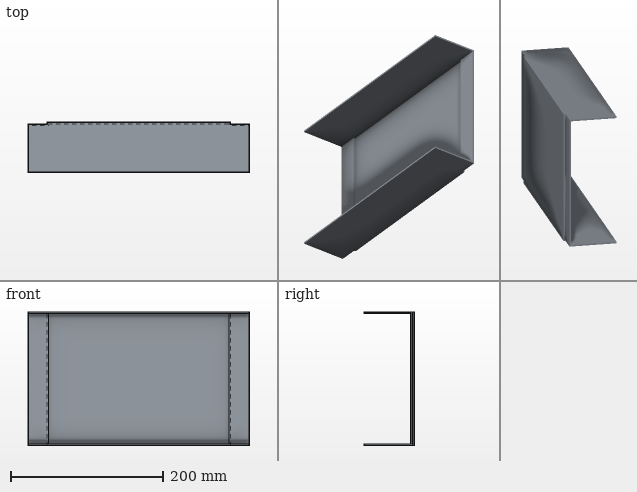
import cadquery as cq

length = 291.0
height = 175.9
sheet = 2.2
flange_depth = 63.4
panel_step = 2.5
end_strip_width = 25.0

depth = flange_depth + panel_step
panel_length = length - 2 * end_strip_width
recess_length = panel_length - 2 * sheet
inner_height = height - 2 * sheet


def block(size_x, size_y, size_z):
    """Box centred on X and Z, with its front face on Y = 0."""
    return cq.Workplane("XY").box(size_x, size_y, size_z, centered=(True, False, True))


def outer_body():
    """Solid envelope of the channel with the panel standing out at the back."""
    main = block(length, flange_depth, height)
    panel = block(panel_length, depth, height)
    return main.union(panel)


def inner_space():
    """Space between the flanges plus the shallow recess inside the raised panel."""
    channel = block(length, flange_depth - sheet, inner_height)
    recess = block(recess_length, depth - sheet, inner_height)
    return channel.union(recess)


result = outer_body().cut(inner_space())